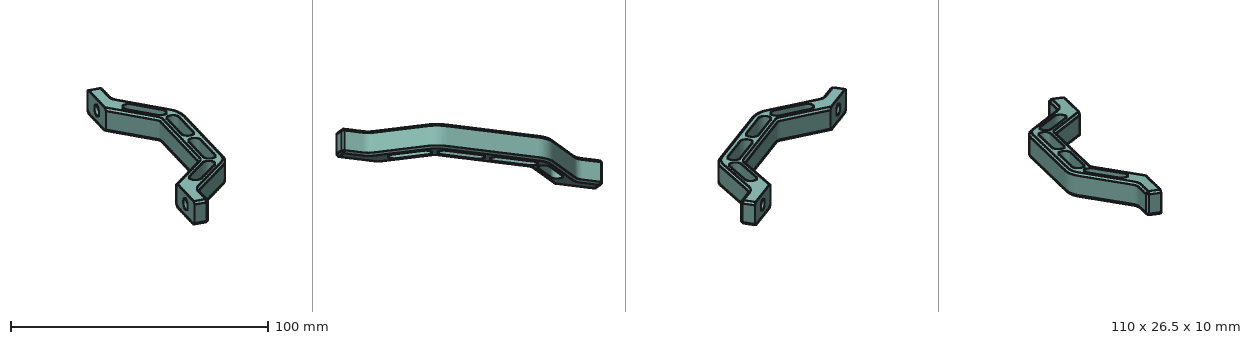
import cadquery as cq
import math

length = 110.0
height = 26.5
width = 10.0
half_length = length / 2

foot_thickness = 6.0
foot_inner_x = 36.0
leg_thickness = 10.0
grip_underside_y = 16.0
outer_bend_radius = 10.0
inner_bend_radius = 2.2
foot_bend_radius = 5.0
edge_chamfer = 1.0

slot_width = 5.0
grip_slot_length = 19.7
grip_slot_x = 11.1
grip_slot_y = 21.0
leg_slot_length = 18.3
leg_slot_x = 29.6
leg_slot_y = 13.5
leg_angle = 45

hole_diameter = 4.6
hole_depth = 5.0
hole_x = 45.5

inner_corner_x = foot_inner_x - grip_underside_y
outer_line_x = foot_inner_x + leg_thickness * math.sqrt(2)
outer_corner_x = outer_line_x - height
foot_corner_x = outer_line_x - foot_thickness


def make_bar():
    """Bent bar with rounded bends, chamfered everywhere except round the mounting faces."""
    right_half = [
        (foot_inner_x, 0),
        (half_length, 0),
        (half_length, foot_thickness),
        (foot_corner_x, foot_thickness),
        (outer_corner_x, height),
    ]
    left_half = [(-x, y) for x, y in reversed(right_half)]
    underside = [(-inner_corner_x, grip_underside_y), (inner_corner_x, grip_underside_y)]
    bar = (
        cq.Workplane("XY")
        .polyline(right_half + left_half + underside)
        .close()
        .extrude(width / 2, both=True)
    )

    bends = [
        (outer_corner_x, height, outer_bend_radius),
        (inner_corner_x, grip_underside_y, inner_bend_radius),
        (foot_corner_x, foot_thickness, foot_bend_radius),
    ]
    for x, y, radius in bends:
        for side in (-1, 1):
            bar = bar.edges(cq.NearestToPointSelector((side * x, y, 0))).fillet(radius)

    foot_tips = bar.faces("<X or >X").edges("|Z and (not <Y)")
    rims = bar.faces("<Z or >Z").edges()
    mounting_edges = bar.faces("<Y").edges()
    chamfered = rims.add(foot_tips).edges().vals()
    kept_sharp = mounting_edges.vals()
    edges = [edge for edge in chamfered if not any(edge.isSame(sharp) for sharp in kept_sharp)]
    return bar.newObject(edges).chamfer(edge_chamfer)


def make_slot(x, y, slot_length, angle):
    return (
        cq.Workplane("XY")
        .center(x, y)
        .slot2D(slot_length, slot_width, angle)
        .extrude(width, both=True)
    )


def make_hole(x):
    return (
        cq.Workplane("XZ")
        .center(x, 0)
        .circle(hole_diameter / 2)
        .extrude(-hole_depth)
    )


result = make_bar()
for side in (-1, 1):
    result = result.cut(make_slot(side * grip_slot_x, grip_slot_y, grip_slot_length, 0))
    result = result.cut(make_slot(side * leg_slot_x, leg_slot_y, leg_slot_length, -side * leg_angle))
    result = result.cut(make_hole(side * hole_x))